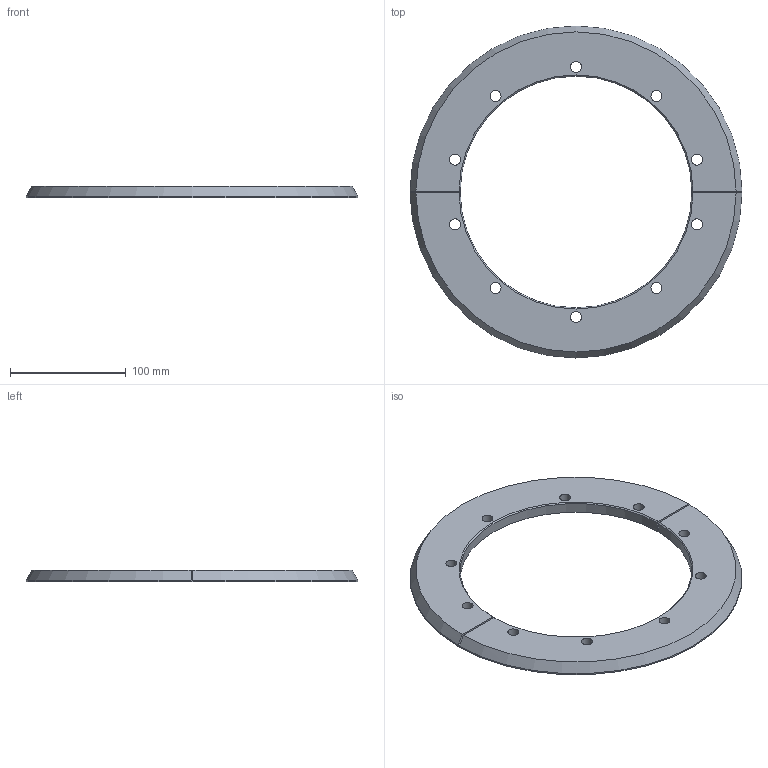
import cadquery as cq
import math

outer_diameter = 286.5
bore_diameter = 200.0
thickness = 10.01
rim_height = 1.2
rim_angle = 30.0
bore_chamfer = 1.0

hole_diameter = 9.5
hole_circle_radius = 108.0
hole_angles = (-90, -50, -15, 15, 50, 90)

slot_width = 1.6
slot_floor = rim_height
slot_shoulder = slot_floor + slot_width / 2

outer_radius = outer_diameter / 2
bore_radius = bore_diameter / 2
cone_height = thickness - rim_height
top_radius = outer_radius - cone_height * math.tan(math.radians(rim_angle))


def ring_body():
    """Revolve the ring section about the Z axis."""
    section = (
        cq.Workplane("XZ")
        .moveTo(bore_radius, 0)
        .lineTo(outer_radius, 0)
        .lineTo(outer_radius, rim_height)
        .lineTo(top_radius, thickness)
        .lineTo(bore_radius + bore_chamfer, thickness)
        .lineTo(bore_radius, thickness - bore_chamfer)
        .close()
    )
    return section.revolve(360, (0, 0, 0), (0, 1, 0))


def hole_centers():
    """Centres of the through holes on their common circle."""
    mirrored_angles = [180 - angle for angle in hole_angles if abs(angle) != 90]
    centers = []
    for angle in [*hole_angles, *mirrored_angles]:
        x = hole_circle_radius * math.cos(math.radians(angle))
        y = hole_circle_radius * math.sin(math.radians(angle))
        centers.append((x, y))
    return centers


def through_holes():
    """Cylinders that cut the holes through the full thickness."""
    return cq.Workplane("XY").pushPoints(hole_centers()).circle(hole_diameter / 2).extrude(thickness)


def parting_slot():
    """Narrow slot with a V bottom, running along X across both sides of the ring."""
    half_width = slot_width / 2
    section = (
        cq.Workplane("YZ")
        .moveTo(0, slot_floor)
        .lineTo(half_width, slot_shoulder)
        .lineTo(half_width, thickness)
        .lineTo(-half_width, thickness)
        .lineTo(-half_width, slot_shoulder)
        .close()
    )
    return section.extrude(outer_radius, both=True)


result = ring_body().cut(through_holes()).cut(parting_slot())